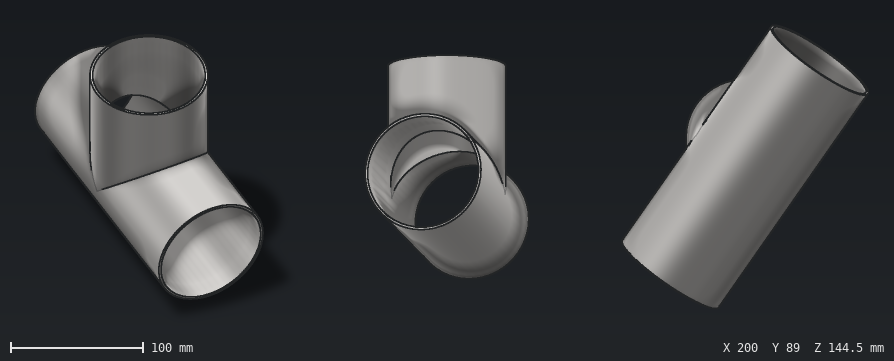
import cadquery as cq

run_length = 200.0
outer_diameter = 89.0
bore_diameter = 85.0
branch_height = run_length / 2


def tee_solid(diameter):
    """Run and branch cylinders of one diameter, with axes meeting at the origin."""
    run = cq.Workplane("YZ").circle(diameter / 2).extrude(run_length / 2, both=True)
    branch = cq.Workplane("XY").circle(diameter / 2).extrude(branch_height)
    return run.union(branch)


result = tee_solid(outer_diameter).cut(tee_solid(bore_diameter))